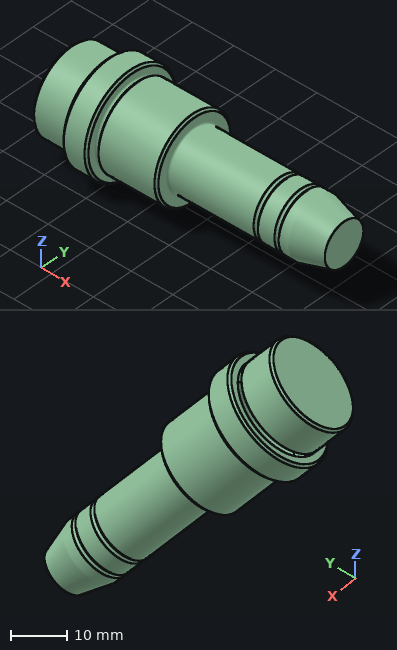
import cadquery as cq
import math

total_length = 66.0
body_radius = 20.0 / 2
flange_radius = 24.0 / 2
shank_radius = 14.0 / 2

edge_size = 0.5
groove_width = 2 * edge_size

flange_start = 9.0
flange_end = 15.0
body_end = 29.95
shank_groove_centers = (51.1, 56.1)
taper_start = 59.0

taper_angle = 15.0
taper_length = total_length - taper_start
tip_radius = shank_radius - taper_length * math.tan(math.radians(taper_angle))


def cylinder(start, end, radius):
    """Solid cylinder on the X axis between two places."""
    return cq.Workplane("YZ", origin=(start, 0, 0)).circle(radius).extrude(end - start)


def ring_groove(center, surface_radius):
    """Ring that cuts a half-round groove into a cylindrical surface."""
    return (
        cq.Workplane("XY")
        .center(center, surface_radius)
        .circle(edge_size)
        .revolve(360, (0, -surface_radius, 0), (1, -surface_radius, 0))
    )


body = cylinder(0, body_end, body_radius).edges().chamfer(edge_size)
for relief_center in (flange_start - groove_width / 2, flange_end + groove_width / 2):
    body = body.cut(ring_groove(relief_center, body_radius))

flange = cylinder(flange_start, flange_end, flange_radius).edges().chamfer(edge_size)

fillet_end = body_end + edge_size
fillet_mid_offset = edge_size * (1 - math.sqrt(0.5))
shank = (
    cq.Workplane("XY")
    .moveTo(body_end, 0)
    .lineTo(body_end, shank_radius + edge_size)
    .threePointArc(
        (body_end + fillet_mid_offset, shank_radius + fillet_mid_offset),
        (fillet_end, shank_radius),
    )
    .lineTo(taper_start, shank_radius)
    .lineTo(total_length, tip_radius)
    .lineTo(total_length, 0)
    .close()
    .revolve(360, (0, 0, 0), (1, 0, 0))
)
for groove_center in shank_groove_centers:
    shank = shank.cut(ring_groove(groove_center, shank_radius))

result = body.union(flange).union(shank)